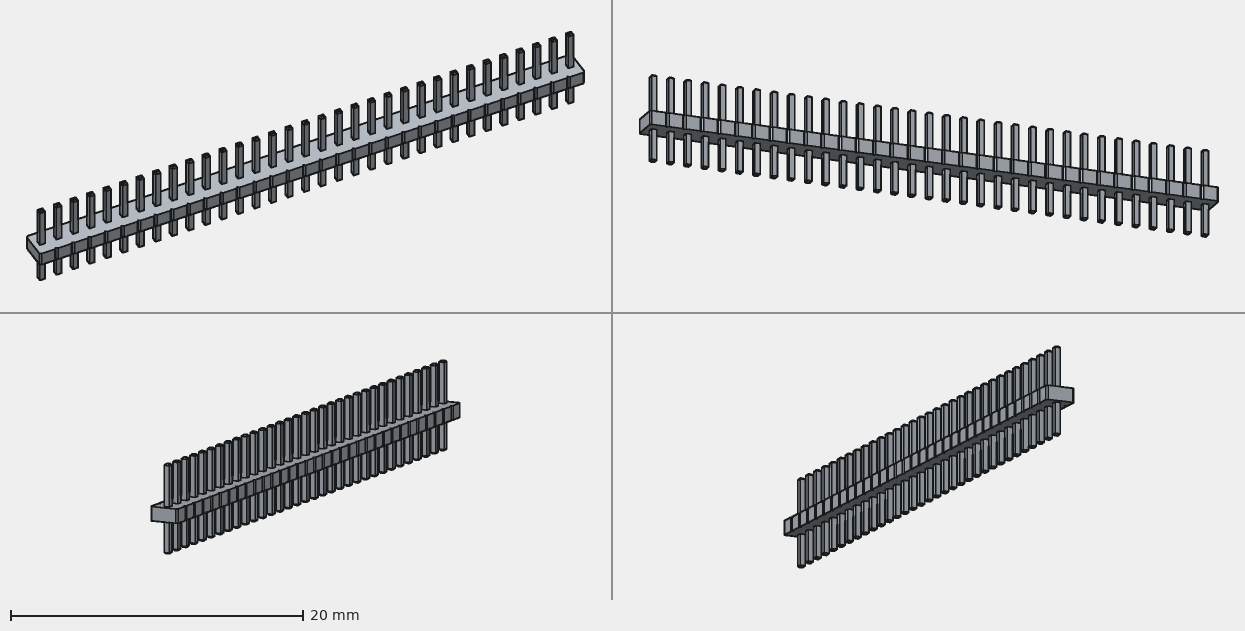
import cadquery as cq

pin_count = 33
row_length = 41.9
body_width = 2.1
body_height = 1.0
total_height = 6.3
pin_side = 0.4
pin_below_body = 2.3
corner_chamfer = 0.13
tip_chamfer = 0.1

pitch = row_length / pin_count
first_pin_y = -(row_length - pitch) / 2
pin_positions = [(0, first_pin_y + index * pitch) for index in range(pin_count)]


def make_body():
    """Row of chamfered blocks, one per pin, joined end to end with V-notches between them."""
    block = (
        cq.Workplane("XY")
        .box(body_width, pitch, body_height, centered=(True, True, False))
        .edges("|Z")
        .chamfer(corner_chamfer)
        .val()
    )
    return cq.Workplane("XY").pushPoints(pin_positions).eachpoint(
        lambda location: block.moved(location), combine=True
    )


def make_pins():
    """Square pins that run straight through the body, with small chamfers around both tips."""
    return (
        cq.Workplane("XY")
        .workplane(offset=-pin_below_body)
        .pushPoints(pin_positions)
        .rect(pin_side, pin_side)
        .extrude(total_height)
        .faces("<Z or >Z")
        .chamfer(tip_chamfer)
    )


result = make_body().union(make_pins()).clean()